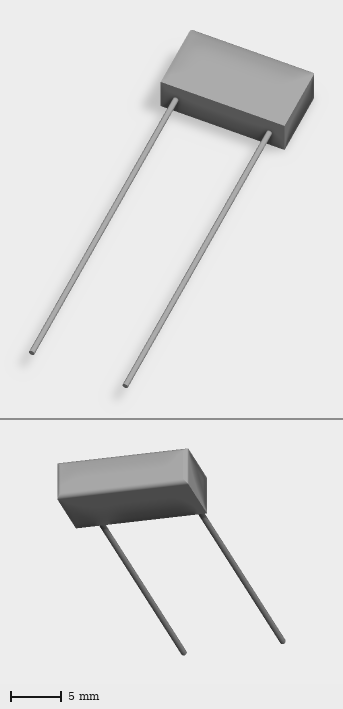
import cadquery as cq

overall_length = 42.5
housing_width = 13.5
housing_height = 3.9
housing_depth = 7.5

rear_edge_radius = 0.42
lead_diameter = 0.6
lead_spacing = 10.2
lead_length = overall_length - housing_depth


def make_housing():
    """Box whose front face lies on Y = 0, with the edges of its rear face rounded."""
    return (
        cq.Workplane("XY")
        .box(housing_width, housing_depth, housing_height, centered=(True, False, True))
        .faces(">Y")
        .edges()
        .fillet(rear_edge_radius)
    )


def make_lead(x_position):
    """Straight round wire running forward (-Y) from the front face of the housing."""
    return (
        cq.Workplane("XZ")
        .center(x_position, 0)
        .circle(lead_diameter / 2)
        .extrude(lead_length)
    )


housing = make_housing()

leads = []
for side in (-1, 1):
    leads.append(make_lead(side * lead_spacing / 2))

result = cq.Compound.makeCompound([housing.val(), *[lead.val() for lead in leads]])